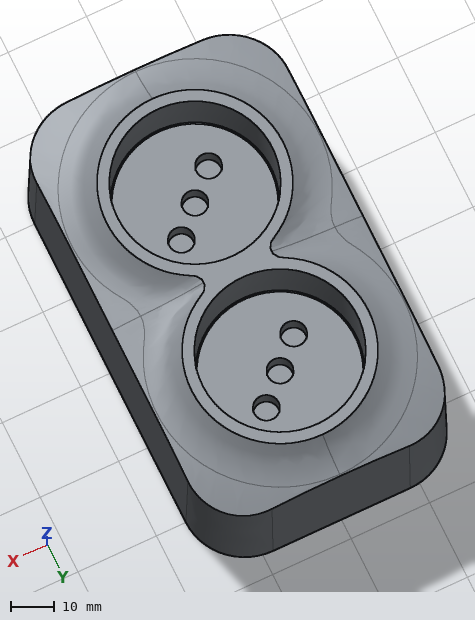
import math

import cadquery as cq

WIDTH = 65.0
LENGTH = 110.0
HEIGHT = 35.6
CORNER_RADIUS = 15.0
WALL_DRAFT = 1.0

POCKET_SPACING = 45.0
POCKET_OFFSET = POCKET_SPACING / 2
POCKET_TOP_RADIUS = 19.7
POCKET_FLOOR_RADIUS = 19.4
POCKET_DEPTH = 15.0
FLOOR_CHAMFER = 0.3

HOLE_RADIUS = 3.1
HOLE_STEP = 6.7
HOLE_DEPTH = 5.0

RIM_RADIUS = 22.5
RIM_WAIST = 8.7
SHOULDER_RADIUS = 31.5
SHOULDER_WAIST = 24.8
SHOULDER_HEIGHT = 31.1
SHOULDER_SLOPE = 10.0

DOME_RADIUS = 62.0
DOME_SLOPE = 11.5
DOME_INSET = 0.05
DOME_REACH = WIDTH / 2 - DOME_INSET
DOME_SQUARENESS = 4.9
SKIRT_SPREAD = 2.0
DOME_CREST = SHOULDER_RADIUS - DOME_RADIUS * math.sin(math.radians(DOME_SLOPE))
DOME_CENTRE_HEIGHT = SHOULDER_HEIGHT - DOME_RADIUS * math.cos(math.radians(DOME_SLOPE))

FLANK_SECTIONS = 6
DOME_SECTIONS = 4
LOBE_STEPS = 12
NECK_STEPS = 3


def dome_height(x, y):
    """Height of the dome, set by the distance from the line joining the pocket centres."""
    distance = math.hypot(x, max(y - POCKET_OFFSET, 0))
    return DOME_CENTRE_HEIGHT + math.sqrt(DOME_RADIUS**2 - (distance - DOME_CREST) ** 2)


def flank_drop(fraction):
    """Drop of the concave flank arc, a fraction of the way from rim to shoulder."""
    run = SHOULDER_RADIUS - RIM_RADIUS
    drop = HEIGHT - SHOULDER_HEIGHT
    end_slope = math.radians(SHOULDER_SLOPE)
    half_turn = math.atan2(drop, run) - end_slope
    arc_radius = math.hypot(run, drop) / (2 * math.sin(half_turn))
    to_centre = arc_radius * math.sin(end_slope) + run * (1 - fraction)
    centre_height = SHOULDER_HEIGHT + arc_radius * math.cos(end_slope)
    return HEIGHT - centre_height + math.sqrt(arc_radius**2 - to_centre**2)


def quarter_outline(lobe, waist):
    """Points from the +Y pole round the lobe and into the neck at the +X waist."""
    neck = (POCKET_OFFSET**2 + waist**2 - lobe**2) / (2 * (lobe - waist))
    neck_x = waist + neck
    neck_angle = math.atan2(POCKET_OFFSET, neck_x)
    points = []
    for step in range(LOBE_STEPS + 1):
        angle = math.pi / 2 - step / LOBE_STEPS * (math.pi / 2 + neck_angle)
        points.append((lobe * math.cos(angle), POCKET_OFFSET + lobe * math.sin(angle)))
    for step in range(1, NECK_STEPS + 1):
        angle = neck_angle * (1 - step / NECK_STEPS)
        points.append((neck_x - neck * math.cos(angle), neck * math.sin(angle)))
    return points


SHOULDER_OUTLINE = quarter_outline(SHOULDER_RADIUS, SHOULDER_WAIST)


def flank_points(fraction):
    """Quarter of a flank section, its drop scaled so that the flank ends on the dome."""
    lobe = RIM_RADIUS + fraction * (SHOULDER_RADIUS - RIM_RADIUS)
    waist = RIM_WAIST + fraction * (SHOULDER_WAIST - RIM_WAIST)
    points = []
    for (x, y), shoulder in zip(quarter_outline(lobe, waist), SHOULDER_OUTLINE):
        scale = (HEIGHT - dome_height(*shoulder)) / (HEIGHT - SHOULDER_HEIGHT)
        points.append((x, y, HEIGHT - scale * flank_drop(fraction)))
    return points


def dome_edge(x, y):
    """Point on the dome's outer loop, straight out from a shoulder point."""
    if y <= POCKET_OFFSET:
        return DOME_REACH, y
    rise = y - POCKET_OFFSET
    norm = (x**DOME_SQUARENESS + rise**DOME_SQUARENESS) ** (1 / DOME_SQUARENESS)
    return DOME_REACH * x / norm, POCKET_OFFSET + DOME_REACH * rise / norm


def dome_points(fraction):
    """Quarter of a dome section, a fraction of the way from shoulder to outer loop or beyond."""
    points = []
    for x, y in SHOULDER_OUTLINE:
        edge_x, edge_y = dome_edge(x, y)
        section_x = x + fraction * (edge_x - x)
        section_y = y + fraction * (edge_y - y)
        points.append((section_x, section_y, dome_height(section_x, section_y)))
    return points


def mirrored_loop(quarter):
    """Closed wire of four mirrored smooth quarters."""
    edges = []
    for side_x, side_y in ((1, 1), (1, -1), (-1, -1), (-1, 1)):
        points = [cq.Vector(side_x * x, side_y * y, z) for x, y, z in quarter]
        tangents = [cq.Vector(side_x, 0, 0), cq.Vector(0, -side_y, 0)]
        edges.append(cq.Edge.makeSpline(points, tangents=tangents))
    return cq.Wire.assembleEdges(edges)


def top_envelope():
    """Solid under the rim, flank and dome, with a skirt that flares clear of the block."""
    loft = cq.occ_impl.shapes.loft
    flank = [mirrored_loop(flank_points(step / FLANK_SECTIONS)) for step in range(FLANK_SECTIONS + 1)]
    shoulder = flank[-1]
    dome = [shoulder]
    for step in range(1, DOME_SECTIONS + 1):
        dome.append(mirrored_loop(dome_points(step / DOME_SECTIONS)))
    base = mirrored_loop([(x, y, 0) for x, y, _ in dome_points(SKIRT_SPREAD)])
    faces = [cq.Face.makeFromWires(flank[0]), cq.Face.makeFromWires(base)]
    faces += loft(flank).Faces()
    faces += loft(dome).Faces()
    faces += loft([dome[-1], base], ruled=True).Faces()
    return cq.Workplane(cq.Solid.makeSolid(cq.Shell.makeShell(faces)))


def block():
    """Round-cornered block with drafted walls."""
    return (
        cq.Workplane()
        .sketch()
        .rect(WIDTH, LENGTH)
        .vertices()
        .fillet(CORNER_RADIUS)
        .finalize()
        .extrude(HEIGHT, taper=WALL_DRAFT)
    )


def pocket(centre_y):
    """Drafted round pocket with a chamfered floor edge and three blind holes in its floor."""
    floor = HEIGHT - POCKET_DEPTH
    cup = (
        cq.Workplane(origin=(0, centre_y, floor))
        .circle(POCKET_FLOOR_RADIUS)
        .workplane(offset=POCKET_DEPTH)
        .circle(POCKET_TOP_RADIUS)
        .loft()
        .faces("<Z")
        .chamfer(FLOOR_CHAMFER)
    )
    holes = (
        cq.Workplane(origin=(0, centre_y, floor))
        .pushPoints([(step * HOLE_STEP, step * HOLE_STEP) for step in (-1, 0, 1)])
        .circle(HOLE_RADIUS)
        .extrude(-HOLE_DEPTH)
    )
    return cup.union(holes)


result = block().intersect(top_envelope())
for pocket_y in (-POCKET_OFFSET, POCKET_OFFSET):
    result = result.cut(pocket(pocket_y))